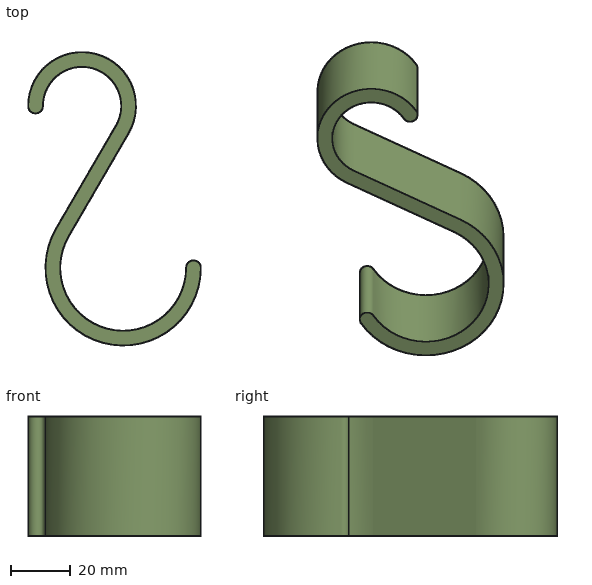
import cadquery as cq
import math

length = 98.1
width = 57.8
height = 40.0
thickness = 5.0
small_outer_radius = 18.0
large_outer_radius = 26.0

small_radius = small_outer_radius - thickness / 2
large_radius = large_outer_radius - thickness / 2

small_center = (
    -(width - small_outer_radius - large_outer_radius),
    length - small_outer_radius - large_outer_radius,
)
large_center = (0.0, 0.0)

center_distance = math.hypot(*small_center)
center_angle = math.atan2(-small_center[1], -small_center[0])
normal_angle = center_angle + math.acos((small_radius + large_radius) / center_distance)


def polar(center, radius, angle):
    """Point at the given radius and angle (radians) about a centre."""
    return (center[0] + radius * math.cos(angle), center[1] + radius * math.sin(angle))


def s_hook_profile():
    """S-shaped outline: two hooks, a tangent shank and half-round tips."""
    small_inner_radius = small_outer_radius - thickness
    large_inner_radius = large_outer_radius - thickness
    small_tip = polar(small_center, small_radius, math.pi)
    large_tip = polar(large_center, large_radius, 0)
    opposite_angle = normal_angle + math.pi
    up = math.pi / 2
    down = -up
    return (
        cq.Workplane("XY")
        .moveTo(*polar(small_center, small_outer_radius, math.pi))
        .threePointArc(
            polar(small_center, small_outer_radius, up),
            polar(small_center, small_outer_radius, normal_angle),
        )
        .lineTo(*polar(large_center, large_inner_radius, opposite_angle))
        .threePointArc(
            polar(large_center, large_inner_radius, down),
            polar(large_center, large_inner_radius, 0),
        )
        .threePointArc(
            polar(large_tip, thickness / 2, up),
            polar(large_center, large_outer_radius, 0),
        )
        .threePointArc(
            polar(large_center, large_outer_radius, down),
            polar(large_center, large_outer_radius, opposite_angle),
        )
        .lineTo(*polar(small_center, small_inner_radius, normal_angle))
        .threePointArc(
            polar(small_center, small_inner_radius, up),
            polar(small_center, small_inner_radius, math.pi),
        )
        .threePointArc(
            polar(small_tip, thickness / 2, down),
            polar(small_center, small_outer_radius, math.pi),
        )
        .close()
    )


result = s_hook_profile().extrude(height)